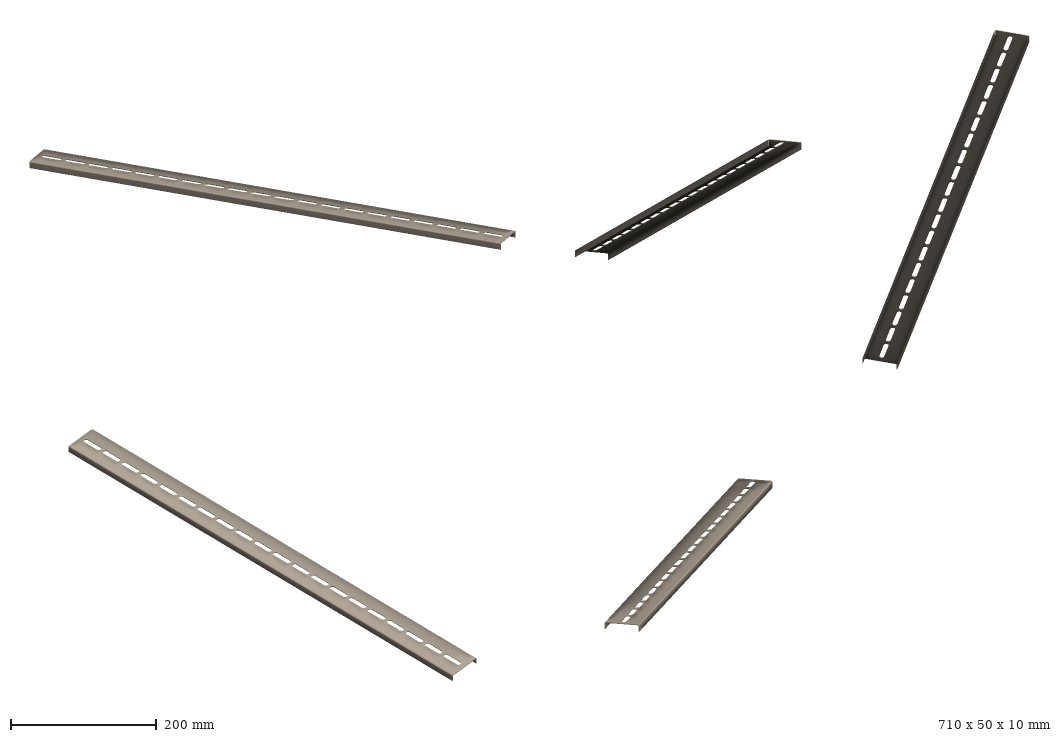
import cadquery as cq

length = 710.0
width = 50.0
height = 10.0
thickness = 1.0
bend_outer_radius = 2.0
bend_inner_radius = bend_outer_radius - thickness

slot_count = 20
slot_length = 30.0
slot_width = 6.95
slot_gap = 5.2
slot_pitch = slot_length + slot_gap


def rounded_bar(bar_width, bar_height, corner_radius):
    """Bar along X standing on Z = 0, with its two upper long edges rounded."""
    bar = cq.Workplane("XY").box(length, bar_width, bar_height, centered=(True, True, False))
    return bar.edges("|X and >Z").fillet(corner_radius)


def bent_channel():
    """Sheet of even thickness, bent down along both long sides."""
    outside = rounded_bar(width, height, bend_outer_radius)
    inside = rounded_bar(width - 2 * thickness, height - thickness, bend_inner_radius)
    return outside.cut(inside)


def slot_row():
    """Cutters for the slots, centred on the web and passing through it."""
    return (
        cq.Workplane("XY")
        .rarray(slot_pitch, 7, slot_count, 1)
        .slot2D(slot_length, slot_width)
        .extrude(height)
    )


result = bent_channel().cut(slot_row())